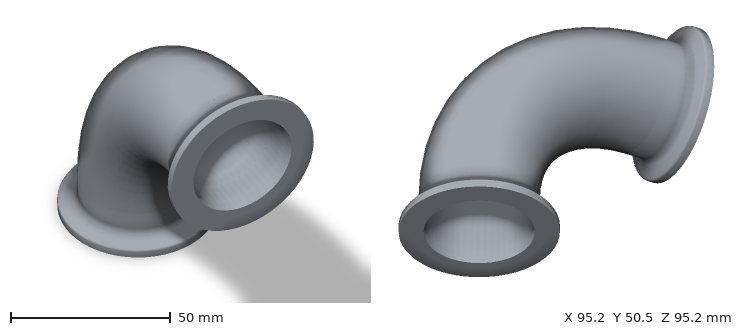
import cadquery as cq
import math

tube_diameter = 38.1
bore_diameter = 34.8
flange_diameter = 50.5
overall_size = 95.15
ferrule_length = 12.75

cone_angle = math.radians(20)
rim_height = 2.9
rim_round = 0.9
neck_round = 2.0

tube_radius = tube_diameter / 2
bore_radius = bore_diameter / 2
flange_radius = flange_diameter / 2
bend_radius = overall_size - flange_radius - ferrule_length
bend_angle = 90
outlet_height = ferrule_length + bend_radius


def cone_height(radius):
    """Height of the sloping flange back at a given radius."""
    return rim_height + (flange_radius - radius) * math.tan(cone_angle)


def make_ferrule():
    """Clamp ferrule standing on its flange face, with its axis along Z."""
    cosine = math.cos(cone_angle)
    mid_angle = (math.pi / 2 - cone_angle) / 2

    rim_center_r = flange_radius - rim_round
    rim_center_z = cone_height(rim_center_r) - rim_round / cosine

    def rim_point(angle):
        return (
            rim_center_r + rim_round * math.cos(angle),
            rim_center_z + rim_round * math.sin(angle),
        )

    neck_center_r = tube_radius + neck_round
    neck_center_z = cone_height(neck_center_r) + neck_round / cosine

    def neck_point(angle):
        return (
            neck_center_r - neck_round * math.cos(angle),
            neck_center_z - neck_round * math.sin(angle),
        )

    tangent_angle = math.pi / 2 - cone_angle
    profile = (
        cq.Workplane("XZ")
        .moveTo(bore_radius, 0)
        .lineTo(flange_radius, 0)
        .lineTo(*rim_point(0))
        .threePointArc(rim_point(mid_angle), rim_point(tangent_angle))
        .lineTo(*neck_point(tangent_angle))
        .threePointArc(neck_point(mid_angle), neck_point(0))
        .lineTo(tube_radius, ferrule_length)
        .lineTo(bore_radius, ferrule_length)
        .close()
    )
    return profile.revolve(360, (0, 0, 0), (0, 1, 0))


def make_elbow():
    """Quarter bend from the vertical inlet to the horizontal outlet."""
    return (
        cq.Workplane("XY")
        .workplane(offset=ferrule_length)
        .circle(tube_radius)
        .circle(bore_radius)
        .revolve(bend_angle, (bend_radius, 0, 0), (bend_radius, 1, 0))
    )


elbow = make_elbow()

outlet_face_x = bend_radius + ferrule_length
ferrule_places = [
    ((0, 0, 0), 0),
    ((outlet_face_x, 0, outlet_height), -bend_angle),
]
ferrules = []
for position, turn in ferrule_places:
    ferrule = make_ferrule().rotate((0, 0, 0), (0, 1, 0), turn).translate(position)
    ferrules.append(ferrule.val())

result = cq.Compound.makeCompound([elbow.val(), *ferrules])